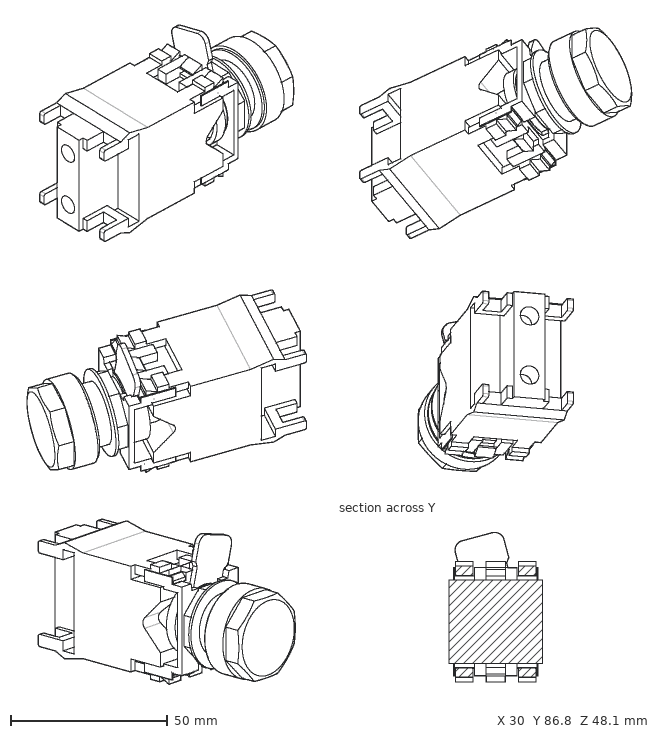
import cadquery as cq
import math


CORE_FRONT_Y = 54.0
ARM_FRONT_Y = 57.75
PLATE_REAR_Y = 60.0
PLATE_FRONT_Y = 61.9
NUT_FRONT_Y = 65.75
WASHER_FRONT_Y = 66.7
STEP_REAR_Y = 72.1
FLANGE_REAR_Y = 73.0
FLANGE_FRONT_Y = 80.8
CAP_FRONT_Y = 86.85

HALF_WIDTH = 30.0 / 2
HALF_HEIGHT = 17.8
RIDGE_Z = 19.5
RIDGE_YS = (9.0, 12.9, 20.85)
CORE_Z = 13.4
SLOT_Y = 41.3
HOOK_BOTTOM_Z = 14.7
HOOK_TOP_Z = 17.3
HOOK_CREST_Z = 19.3
HOOK_INNER_X = 7.2
HOOK_OUTER_X = 12.9
HOOK_BEVEL = 1.4
RAMP_FRONT_Y = 55.85
RAMP_REAR_Y = 51.9
STOP_REAR_Y = 47.9
NOTCH_HALF_OPENING = 8.5
NOTCH_RADIUS = 2.5

RECESS_Y = 17.1
RECESS_Z = 17.0
SHELF_Y = 12.3
SHELF_Z = 13.6
WEB_HALF_WIDTH = 5.1
RAIL_HALF_WIDTH = 6.95
RAIL_Y = 1.8
TAB_INNER_X = 13.0
TAB_Y = 1.65
TAB_RADIUS = 0.8
TERMINAL_RADIUS = 3.0
TERMINAL_Z = 10.0
TERMINAL_DEPTH = 8.7

PLATE_HALF_WIDTH = 13.55
PLATE_HALF_HEIGHT = 14.9
WINDOW_Z = 12.6
ARM_END_Y = 45.9
FINGER_INNER_X = 3.0
FINGER_OUTER_X = 6.9
RIM_INNER_X = 13.1
CATCH_BOTTOM_Z = 16.8
CATCH_POST_DEPTH = 0.9
KEYWAY_HALF_WIDTH = 5.65
GATE_TOP_X = 9.1
GATE_BOTTOM_X = 8.5
GATE_LEVER_RELIEF = 0.9

LEVER_ANGLE = 15.0
LEVER_FRONT_Y = 59.6
DISC_RADIUS = 12.1
DISC_LOW_RADIUS = 10.8
LOW_SECTOR_ANGLES = (-117.0, 47.5)
SECTOR_CLEARANCE = 0.9
SHAFT_RADIUS = 7.55
DISC_RECESS_RADIUS = 10.4
STEM_LEFT = -5.65
STEM_RIGHT = 8.25
HEAD_OVERHANG = 1.1
HEAD_TAPER = 1.6
HEAD_BOTTOM = 18.8
HEAD_TOP = 27.8
HEAD_RADIUS = 3.1

OCTAGON_SIDES = 8
NECK_RADIUS = 10.5
FLANGE_RADIUS = HALF_WIDTH
STEP_RADIUS = 14.0
WASHER_RADIUS = 14.5
NUT_ACROSS_FLATS = 25.1
CAP_ACROSS_FLATS = 27.1
CAP_FACE_RADIUS = 12.5
CAP_CHAMFER_SLOPE = 0.45


def box(x0, x1, y0, y1, z0, z1):
    size = (x1 - x0, y1 - y0, z1 - z0)
    return cq.Workplane("XY").box(*size, centered=False).translate((x0, y0, z0))


def cylinder(radius, y0, y1):
    return cq.Workplane("XZ", origin=(0, y1, 0)).circle(radius).extrude(y1 - y0)


def octagon(across_flats, y0, y1):
    diameter = across_flats / math.cos(math.pi / OCTAGON_SIDES)
    prism = cq.Workplane("XZ", origin=(0, y1, 0)).polygon(OCTAGON_SIDES, diameter).extrude(y1 - y0)
    return prism.rotate((0, 0, 0), (0, 1, 0), 180 / OCTAGON_SIDES)


def side_profile(points, x0, x1):
    """Prism along X with its outline given as (Y, Z) points."""
    return cq.Workplane("YZ", origin=(x0, 0, 0)).polyline(points).close().extrude(x1 - x0)


def with_mirror(shape, plane):
    return shape.union(shape.mirror(plane))


def housing_hook():
    """Upper hook on the +X side, with its ramp and its stop block."""
    outline = [
        (SLOT_Y, HOOK_BOTTOM_Z),
        (ARM_FRONT_Y, HOOK_BOTTOM_Z),
        (ARM_FRONT_Y, HOOK_TOP_Z - HOOK_BEVEL),
        (ARM_FRONT_Y - HOOK_BEVEL, HOOK_TOP_Z),
        (RAMP_FRONT_Y, HOOK_TOP_Z),
        (RAMP_FRONT_Y, HOOK_CREST_Z),
        (RAMP_REAR_Y, HOOK_TOP_Z),
        (RAMP_REAR_Y, HOOK_CREST_Z),
        (STOP_REAR_Y, HOOK_CREST_Z),
        (STOP_REAR_Y, HALF_HEIGHT),
        (SLOT_Y, HALF_HEIGHT),
    ]
    return side_profile(outline, HOOK_INNER_X, HOOK_OUTER_X)


def terminal_corner():
    """Upper corner on the +X side: shelf, outer tab and the rail beside the web."""
    shelf = box(WEB_HALF_WIDTH, HALF_WIDTH, RIDGE_YS[0], SHELF_Y, SHELF_Z, HALF_HEIGHT)
    rail = box(WEB_HALF_WIDTH, RAIL_HALF_WIDTH, RAIL_Y, RIDGE_YS[0], SHELF_Z, HALF_HEIGHT)
    tab = box(TAB_INNER_X, HALF_WIDTH, TAB_Y, RIDGE_YS[0], SHELF_Z, HALF_HEIGHT)
    tab = tab.edges("|X and <Y").fillet(TAB_RADIUS)
    return shelf.union(rail).union(tab)


def make_housing():
    toe, crest, heel = RIDGE_YS
    upper = [(toe, HALF_HEIGHT), (crest, RIDGE_Z), (heel, HALF_HEIGHT), (SLOT_Y, HALF_HEIGHT)]
    lower = [(y, -z) for y, z in reversed(upper)]
    body = side_profile(upper + lower, -HALF_WIDTH, HALF_WIDTH)
    body = body.union(box(-HALF_WIDTH, HALF_WIDTH, SLOT_Y, CORE_FRONT_Y, -CORE_Z, CORE_Z))

    recess = box(WEB_HALF_WIDTH, HALF_WIDTH, SHELF_Y, RECESS_Y, -RECESS_Z, RECESS_Z)
    recess = recess.union(box(WEB_HALF_WIDTH, HALF_WIDTH, toe, SHELF_Y, -SHELF_Z, SHELF_Z))
    body = body.cut(with_mirror(recess, "YZ"))
    body = body.union(box(-WEB_HALF_WIDTH, WEB_HALF_WIDTH, 0, toe, -HALF_HEIGHT, HALF_HEIGHT))

    for corner_part in (terminal_corner(), housing_hook()):
        body = body.union(with_mirror(with_mirror(corner_part, "YZ"), "XY"))

    for z in (-TERMINAL_Z, TERMINAL_Z):
        body = body.cut(cylinder(TERMINAL_RADIUS, 0, TERMINAL_DEPTH).translate((0, 0, z)))

    notch_tip = (CORE_FRONT_Y - NOTCH_HALF_OPENING, 0)
    mouth = [(CORE_FRONT_Y, NOTCH_HALF_OPENING), (CORE_FRONT_Y, -NOTCH_HALF_OPENING)]
    notch = side_profile([notch_tip] + mouth, -HALF_WIDTH, HALF_WIDTH)
    notch = notch.edges("|X and <Y").fillet(NOTCH_RADIUS)
    return body.cut(notch).cut(cylinder(SHAFT_RADIUS, notch_tip[0], CORE_FRONT_Y))


def bracket_arm():
    """Upper arm: base slab, two fingers, two outer rims and the ramped catch."""
    arm = box(-PLATE_HALF_WIDTH, PLATE_HALF_WIDTH, ARM_FRONT_Y, PLATE_REAR_Y, WINDOW_Z, PLATE_HALF_HEIGHT)
    slab_outline = [
        (ARM_FRONT_Y, WINDOW_Z),
        (CORE_FRONT_Y, WINDOW_Z),
        (CORE_FRONT_Y, CORE_Z),
        (RAMP_REAR_Y, CORE_Z),
        (RAMP_REAR_Y, HOOK_BOTTOM_Z),
        (ARM_FRONT_Y, HOOK_BOTTOM_Z),
    ]
    arm = arm.union(side_profile(slab_outline, -PLATE_HALF_WIDTH, PLATE_HALF_WIDTH))
    for x0, x1 in ((FINGER_INNER_X, FINGER_OUTER_X), (RIM_INNER_X, PLATE_HALF_WIDTH)):
        bar = box(x0, x1, ARM_END_Y, ARM_FRONT_Y, CORE_Z, HOOK_TOP_Z)
        arm = arm.union(with_mirror(bar, "YZ"))
    post_rear = RAMP_FRONT_Y - CATCH_POST_DEPTH
    catch_outline = [
        (RAMP_FRONT_Y, HOOK_BOTTOM_Z),
        (RAMP_FRONT_Y, HOOK_CREST_Z),
        (RAMP_REAR_Y, HOOK_TOP_Z),
        (RAMP_REAR_Y, CATCH_BOTTOM_Z),
        (post_rear, CATCH_BOTTOM_Z),
        (post_rear, HOOK_BOTTOM_Z),
    ]
    return arm.union(side_profile(catch_outline, -FINGER_INNER_X, FINGER_INNER_X))


def lever_gate(left_relief, y0, y1):
    """Gate with sloping sides through the top of the bracket."""
    outline = [
        (-GATE_BOTTOM_X - left_relief, WINDOW_Z),
        (GATE_BOTTOM_X, WINDOW_Z),
        (GATE_TOP_X, PLATE_HALF_HEIGHT),
        (-GATE_TOP_X - left_relief, PLATE_HALF_HEIGHT),
    ]
    return cq.Workplane("XZ", origin=(0, y1, 0)).polyline(outline).close().extrude(y1 - y0)


def make_bracket():
    half_width, half_height = PLATE_HALF_WIDTH, PLATE_HALF_HEIGHT
    plate = box(-half_width, half_width, PLATE_REAR_Y, PLATE_FRONT_Y, -half_height, half_height)
    body = plate.union(with_mirror(bracket_arm(), "XY"))
    body = body.cut(cylinder(NECK_RADIUS, PLATE_REAR_Y, PLATE_FRONT_Y))
    keyway = box(-KEYWAY_HALF_WIDTH, KEYWAY_HALF_WIDTH, ARM_FRONT_Y, PLATE_FRONT_Y, -half_height, WINDOW_Z)
    body = body.cut(keyway)
    body = body.cut(lever_gate(0, LEVER_FRONT_Y, PLATE_FRONT_Y))
    return body.cut(lever_gate(GATE_LEVER_RELIEF, ARM_FRONT_Y, LEVER_FRONT_Y))


def lever_blade():
    head_left = STEM_LEFT - HEAD_OVERHANG
    head_right = STEM_RIGHT + HEAD_OVERHANG
    neck_top = HEAD_BOTTOM - HEAD_TAPER
    outline = [
        (STEM_LEFT, 0),
        (STEM_LEFT, neck_top),
        (head_left, HEAD_BOTTOM),
        (head_left, HEAD_TOP),
        (head_right, HEAD_TOP),
        (head_right, HEAD_BOTTOM),
        (STEM_RIGHT, neck_top),
        (STEM_RIGHT, 0),
    ]
    blade = cq.Workplane("XZ", origin=(0, LEVER_FRONT_Y, 0)).polyline(outline).close()
    blade = blade.extrude(LEVER_FRONT_Y - ARM_FRONT_Y)
    blade = blade.faces(">Z").edges("|Y").fillet(HEAD_RADIUS)
    return blade.rotate((0, 0, 0), (0, 1, 0), -LEVER_ANGLE)


def low_sector():
    """Ring sector that lowers the front rim of the disc."""
    start, end = (math.radians(angle) for angle in LOW_SECTOR_ANGLES)

    def point(radius, angle):
        return (radius * math.cos(angle), radius * math.sin(angle))

    outer = DISC_RADIUS + SECTOR_CLEARANCE
    middle = (start + end) / 2
    sector = cq.Workplane("XZ", origin=(0, PLATE_REAR_Y, 0)).moveTo(*point(DISC_LOW_RADIUS, start))
    sector = sector.lineTo(*point(outer, start))
    sector = sector.threePointArc(point(outer, middle), point(outer, end))
    sector = sector.lineTo(*point(DISC_LOW_RADIUS, end))
    sector = sector.threePointArc(point(DISC_LOW_RADIUS, middle), point(DISC_LOW_RADIUS, start))
    return sector.close().extrude(PLATE_REAR_Y - ARM_FRONT_Y)


def make_lever():
    disc = cylinder(DISC_RADIUS, CORE_FRONT_Y, PLATE_REAR_Y).cut(low_sector())
    disc = disc.cut(cylinder(DISC_RECESS_RADIUS, CORE_FRONT_Y, ARM_FRONT_Y))
    shaft = cylinder(SHAFT_RADIUS, CORE_FRONT_Y - NOTCH_HALF_OPENING, ARM_FRONT_Y)
    return disc.union(shaft).union(lever_blade())


def make_nut():
    nut = octagon(NUT_ACROSS_FLATS, PLATE_FRONT_Y, NUT_FRONT_Y)
    return nut.cut(cylinder(NECK_RADIUS, PLATE_FRONT_Y, NUT_FRONT_Y))


def make_washer():
    washer = cylinder(WASHER_RADIUS, NUT_FRONT_Y, WASHER_FRONT_Y)
    return washer.cut(cylinder(NECK_RADIUS, NUT_FRONT_Y, WASHER_FRONT_Y))


def make_bushing():
    neck = cylinder(NECK_RADIUS, PLATE_REAR_Y, STEP_REAR_Y)
    step = cylinder(STEP_RADIUS, STEP_REAR_Y, FLANGE_REAR_Y)
    flange = cylinder(FLANGE_RADIUS, FLANGE_REAR_Y, FLANGE_FRONT_Y)
    return neck.union(step).union(flange)


def make_cap():
    """Octagonal cap whose front corners are turned to a cone."""
    length = CAP_FRONT_Y - FLANGE_FRONT_Y
    rear_radius = CAP_FACE_RADIUS + length / CAP_CHAMFER_SLOPE
    profile = [
        (0, FLANGE_FRONT_Y),
        (rear_radius, FLANGE_FRONT_Y),
        (CAP_FACE_RADIUS, CAP_FRONT_Y),
        (0, CAP_FRONT_Y),
    ]
    cone = cq.Workplane("XY").polyline(profile).close().revolve(360, (0, 0, 0), (0, 1, 0))
    return octagon(CAP_ACROSS_FLATS, FLANGE_FRONT_Y, CAP_FRONT_Y).intersect(cone)


housing = make_housing()
bracket = make_bracket()
lever = make_lever()
nut = make_nut()
washer = make_washer()
bushing = make_bushing()
cap = make_cap()

bodies = [housing, bracket, lever, nut, washer, bushing, cap]
result = cq.Compound.makeCompound([body.solids().val() for body in bodies])